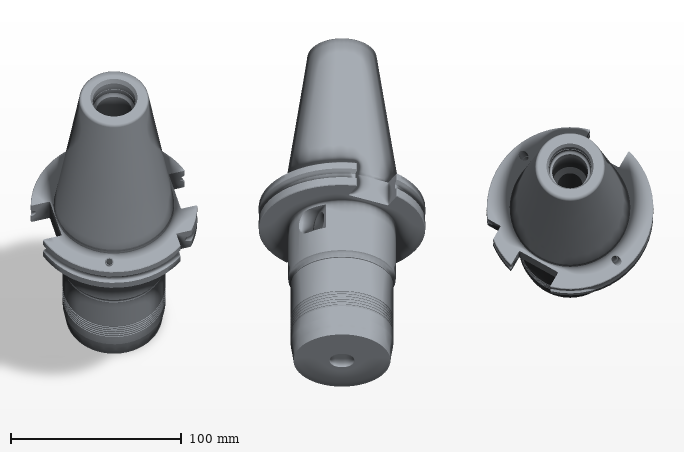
import cadquery as cq
import math

GAUGE_RADIUS = 69.85 / 2
TAPER_LENGTH = 101.6
TAPER_RATIO = 7 / 24
TAPER_END_RADIUS = GAUGE_RADIUS - TAPER_LENGTH * TAPER_RATIO / 2
TAPER_END_FILLET = 2.2
ROOT_RADIUS = 35.3
ROOT_FLARE_TOP = -1.8

FLANGE_RADIUS = 97.5 / 2
FLANGE_TOP = -3.2
FLANGE_BOTTOM = -19.1
FLANGE_CHAMFER = 0.4
FLANGE_ROOT_FILLET = 0.7
GROOVE_CENTER = -10.8
GROOVE_FLOOR_RADIUS = 45.9
GROOVE_FLOOR_WIDTH = 2.8
GROOVE_HALF_ANGLE = 30
GROOVE_MOUTH_WIDTH = (
    GROOVE_FLOOR_WIDTH
    + 2 * (FLANGE_RADIUS - GROOVE_FLOOR_RADIUS) * math.tan(math.radians(GROOVE_HALF_ANGLE))
)

SLOT_WIDTH_FRONT = 25.7
SLOT_WIDTH_BACK = 26.2
SLOT_FLOOR_FRONT = 35.4
SLOT_FLOOR_BACK = 37.0
SLOT_EDGE_CHAMFER = 0.65
SLOT_CORNER_FILLET = 0.6
NOTCH_X = 29.9
NOTCH_Y = 29.4

COOLANT_RADIUS = 41.6
COOLANT_ANGLE = 160.4
COOLANT_TILT = 40
COOLANT_SEAT_DIAMETER = 5.0
COOLANT_SEAT_DEPTH = 3.2
COOLANT_DRILL_DIAMETER = 3.6
COOLANT_DEPTH = 12.0

PLUG_DIAMETER = 4.2
PLUG_DEPTH = 2.0

BODY_RADIUS = 63.0 / 2
BODY_BOTTOM = -53.5
COLLAR_RADIUS = 59.4 / 2
COLLAR_BLEND_LENGTH = 2.7
COLLAR_BOTTOM = -57.0
NOSE_RADIUS = 60.1 / 2
NOSE_CHAMFER = 0.8
NOSE_END_RADIUS = 56.7 / 2
NOSE_TAPER_TOP = -98.6
BOTTOM = -110.0
RING_COUNT = 6
RING_TOP = -80.9
RING_PITCH = 1.85
RING_WIDTH = 1.3
RING_DEPTH = 0.4

MOUTH_RADIUS = 13.75
COUNTERBORE_RADIUS = 12.5
MOUTH_CHAMFER_DEPTH = 2.8
PILOT_RADIUS = 12.3
PILOT_DEPTH = 8.2
PILOT_END_DEPTH = 11.6
THREAD_RADIUS = 10.5
THREAD_DEPTH = 45.0
BORE_RADIUS = 7.3
BORE_CONE_SLOPE = 0.85

POCKET_Y = -14.0
POCKET_Z = -28.9
POCKET_RADIUS = 8.0
POCKET_FLOOR_X = -21.7
CONE_RADIUS = 6.8
CONE_DEPTH = CONE_RADIUS


def revolve(outline):
    """Solid of revolution about Z from a closed outline in the XZ plane."""
    return outline.revolve(360, (0, 0, 0), (0, 1, 0))


def revolve_polygon(points):
    """Solid of revolution about Z from the (radius, z) corners of its section."""
    return revolve(cq.Workplane("XZ").polyline(points).close())


def make_outer():
    groove_top = GROOVE_CENTER + GROOVE_MOUTH_WIDTH / 2
    groove_bottom = GROOVE_CENTER - GROOVE_MOUTH_WIDTH / 2
    flange_edge = FLANGE_RADIUS - FLANGE_CHAMFER
    collar_step = BODY_RADIUS - COLLAR_RADIUS
    blend_radius = (collar_step**2 + COLLAR_BLEND_LENGTH**2) / (2 * collar_step)
    blend_end = BODY_BOTTOM - COLLAR_BLEND_LENGTH
    outline = (
        cq.Workplane("XZ")
        .moveTo(0, TAPER_LENGTH)
        .lineTo(TAPER_END_RADIUS, TAPER_LENGTH)
        .lineTo(GAUGE_RADIUS, 0)
        .lineTo(GAUGE_RADIUS, ROOT_FLARE_TOP)
        .lineTo(ROOT_RADIUS, FLANGE_TOP)
        .lineTo(flange_edge, FLANGE_TOP)
        .lineTo(FLANGE_RADIUS, FLANGE_TOP - FLANGE_CHAMFER)
        .lineTo(FLANGE_RADIUS, groove_top)
        .lineTo(GROOVE_FLOOR_RADIUS, GROOVE_CENTER + GROOVE_FLOOR_WIDTH / 2)
        .lineTo(GROOVE_FLOOR_RADIUS, GROOVE_CENTER - GROOVE_FLOOR_WIDTH / 2)
        .lineTo(FLANGE_RADIUS, groove_bottom)
        .lineTo(FLANGE_RADIUS, FLANGE_BOTTOM + FLANGE_CHAMFER)
        .lineTo(flange_edge, FLANGE_BOTTOM)
        .lineTo(BODY_RADIUS + FLANGE_ROOT_FILLET, FLANGE_BOTTOM)
        .radiusArc((BODY_RADIUS, FLANGE_BOTTOM - FLANGE_ROOT_FILLET), -FLANGE_ROOT_FILLET)
        .lineTo(BODY_RADIUS, BODY_BOTTOM)
        .radiusArc((COLLAR_RADIUS, blend_end), -blend_radius)
        .lineTo(COLLAR_RADIUS, COLLAR_BOTTOM)
        .lineTo(NOSE_RADIUS - NOSE_CHAMFER, COLLAR_BOTTOM)
        .lineTo(NOSE_RADIUS, COLLAR_BOTTOM - NOSE_CHAMFER)
        .lineTo(NOSE_RADIUS, NOSE_TAPER_TOP)
        .lineTo(NOSE_END_RADIUS, BOTTOM)
        .lineTo(0, BOTTOM)
        .close()
    )
    return revolve(outline).faces(">Z").edges().fillet(TAPER_END_FILLET)


def make_bore():
    pilot_cone_end = PILOT_END_DEPTH + (PILOT_RADIUS - THREAD_RADIUS) * BORE_CONE_SLOPE
    thread_cone_end = THREAD_DEPTH + (THREAD_RADIUS - BORE_RADIUS) * BORE_CONE_SLOPE
    points = [
        (0, TAPER_LENGTH),
        (MOUTH_RADIUS, TAPER_LENGTH),
        (COUNTERBORE_RADIUS, TAPER_LENGTH - MOUTH_CHAMFER_DEPTH),
        (COUNTERBORE_RADIUS, TAPER_LENGTH - PILOT_DEPTH),
        (PILOT_RADIUS, TAPER_LENGTH - PILOT_DEPTH),
        (PILOT_RADIUS, TAPER_LENGTH - PILOT_END_DEPTH),
        (THREAD_RADIUS, TAPER_LENGTH - pilot_cone_end),
        (THREAD_RADIUS, TAPER_LENGTH - THREAD_DEPTH),
        (BORE_RADIUS, TAPER_LENGTH - thread_cone_end),
        (BORE_RADIUS, BOTTOM),
        (0, BOTTOM),
    ]
    return revolve_polygon(points)


def make_ring_groove(top):
    inner = NOSE_RADIUS - RING_DEPTH
    bottom = top - RING_WIDTH
    return revolve_polygon([(inner, top), (NOSE_RADIUS, top), (NOSE_RADIUS, bottom), (inner, bottom)])


def make_flange_cut(outline):
    """Prism through the whole flange thickness."""
    return (
        cq.Workplane("XY").workplane(offset=FLANGE_BOTTOM)
        .polyline(outline).close().extrude(FLANGE_TOP - FLANGE_BOTTOM)
    )


def make_drive_slot(width, floor, side):
    """Slot across the flange with rounded floor corners and chamfered mouth edges."""
    half = width / 2
    rim = math.sqrt(FLANGE_RADIUS**2 - half**2)
    chamfer_start = rim - SLOT_EDGE_CHAMFER
    chamfer_run = 2 * SLOT_EDGE_CHAMFER
    wide = half + chamfer_run
    chamfer_end = chamfer_start + chamfer_run
    right = [(half, floor), (half, chamfer_start), (wide, chamfer_end), (wide, FLANGE_RADIUS)]
    left = [(-x, y) for x, y in reversed(right)]
    slot = make_flange_cut([(x, side * y) for x, y in right + left])
    floor_face = "<Y" if side > 0 else ">Y"
    return slot.faces(floor_face).edges("|Z").fillet(SLOT_CORNER_FILLET)


def make_corner_notch():
    far = FLANGE_RADIUS
    return make_flange_cut([(NOTCH_X, NOTCH_Y), (far, NOTCH_Y), (far, far), (NOTCH_X, far)])


def make_coolant_hole():
    """Stepped slanting hole on the +X side."""
    tilt = math.radians(COOLANT_TILT)
    direction = cq.Vector(-math.sin(tilt), 0, -math.cos(tilt))
    mouth = cq.Vector(COOLANT_RADIUS, 0, FLANGE_TOP)
    lead_in = COOLANT_SEAT_DIAMETER
    seat = cq.Solid.makeCylinder(
        COOLANT_SEAT_DIAMETER / 2, COOLANT_SEAT_DEPTH + lead_in, mouth - direction * lead_in, direction
    )
    drill = cq.Solid.makeCylinder(COOLANT_DRILL_DIAMETER / 2, COOLANT_DEPTH, mouth, direction)
    return cq.Workplane(seat).union(cq.Workplane(drill))


def make_plug_hole():
    """Radial blind hole in the groove floor on the +X side."""
    start = cq.Vector(GROOVE_FLOOR_RADIUS - PLUG_DEPTH, 0, GROOVE_CENTER)
    length = FLANGE_RADIUS - GROOVE_FLOOR_RADIUS + PLUG_DEPTH
    return cq.Workplane(cq.Solid.makeCylinder(PLUG_DIAMETER / 2, length, start, cq.Vector(1, 0, 0)))


def make_screw_pocket():
    """Flat-floored pocket open toward -X and -Y, with a conical seat in its floor."""
    plane = cq.Plane(origin=(POCKET_FLOOR_X, POCKET_Y, POCKET_Z), xDir=(0, -1, 0), normal=(-1, 0, 0))
    depth = BODY_RADIUS + POCKET_FLOOR_X
    pocket = (
        cq.Workplane(plane)
        .moveTo(0, POCKET_RADIUS)
        .lineTo(BODY_RADIUS, POCKET_RADIUS)
        .lineTo(BODY_RADIUS, -POCKET_RADIUS)
        .lineTo(0, -POCKET_RADIUS)
        .threePointArc((-POCKET_RADIUS, 0), (0, POCKET_RADIUS))
        .close()
        .extrude(depth)
    )
    seat = cq.Solid.makeCone(
        CONE_RADIUS, 0, CONE_DEPTH, cq.Vector(POCKET_FLOOR_X, POCKET_Y, POCKET_Z), cq.Vector(1, 0, 0)
    )
    return pocket.union(cq.Workplane(seat))


result = make_outer().cut(make_bore())
for index in range(RING_COUNT):
    result = result.cut(make_ring_groove(RING_TOP - index * RING_PITCH))
result = result.cut(make_drive_slot(SLOT_WIDTH_FRONT, SLOT_FLOOR_FRONT, -1))
result = result.cut(make_drive_slot(SLOT_WIDTH_BACK, SLOT_FLOOR_BACK, 1))
result = result.cut(make_corner_notch())
for angle in (COOLANT_ANGLE, COOLANT_ANGLE + 180):
    result = result.cut(make_coolant_hole().rotate((0, 0, 0), (0, 0, 1), angle))
    result = result.cut(make_plug_hole().rotate((0, 0, 0), (0, 0, 1), angle))
result = result.cut(make_screw_pocket())